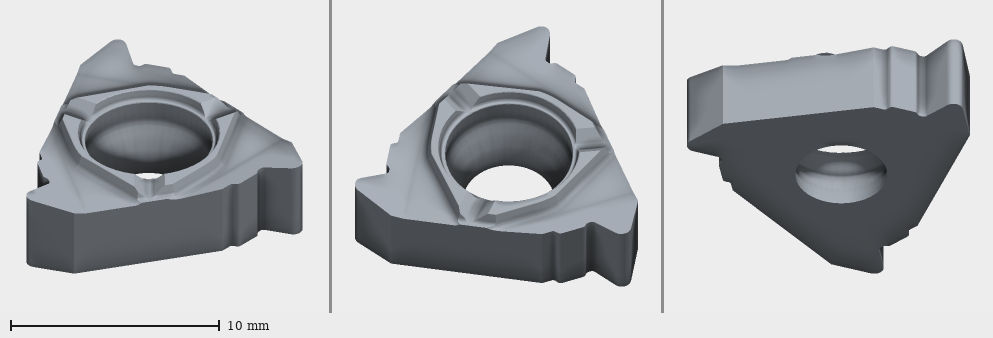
import math

import cadquery as cq

TIPS = 3
TIP_PITCH = 360 / TIPS
REACH = 10.0
CUT_CLEARANCE = 1.0

TOP_Z = 4.1
FLOOR_Z = 3.495
LAND_Z = 3.61

INSCRIBED_RADIUS = 9.525 / 2
TIP_CENTER = (-3.354, 6.45)
TIP_RADIUS = 0.455
FLANK_ANGLE = 30.0
SHOULDER_Y = 5.33
CREST_Y = 5.66
ROOT_Y = 5.46
CREST_RIGHT_X = -0.49
CREST_LEFT_X = -1.75
ROOT_ROUNDING = 0.2

RAKE_ANGLE = 10.6
CREASE_Y = 4.31
CREASE_RADIUS = 0.4

WALL_DRAFT = 25.0
WALL_FILLET = 0.35
STRAIGHT_WALL_OFFSET = 3.732
STRAIGHT_WALL_ANGLE = 90.0
ARC_WALL_SWEEP = 25.0
SLANTED_WALL_OFFSET = 3.6
SLANTED_WALL_ANGLE = 121.5
CORNER_WALL_OFFSET = 4.268
CORNER_WALL_ANGLE = 180.0
CORNER_FILLET = 0.2
TOP_EDGE_ROUNDING = 0.05

GROOVE_ANGLE = 166.0
GROOVE_HALF_WIDTH = 0.74
GROOVE_FLOOR_HALF_WIDTH = 0.13
GROOVE_ROUNDING = 0.25
GROOVE_START = 2.5

HOLE_RADIUS = 2.2
RIM_TAPER = 16.0
LIP_RADIUS = 3.1
LIP_FILLET = 0.2
LIP_ROUNDING = 0.05
BORE_BOTTOM_Z = 2.66
SEAT_FILLET = 0.6
SEAT_TILT = 37.0


def polar(radius, angle):
    """Vector of the given length at an angle in degrees."""
    return radius * math.cos(math.radians(angle)), radius * math.sin(math.radians(angle))


def offset(point, vector):
    """Point moved by a vector."""
    return point[0] + vector[0], point[1] + vector[1]


def around_axis(shape, angle):
    """Shape turned about the hole axis."""
    return shape.rotate((0, 0, 0), (0, 0, 1), angle)


def at_each_tip(shape):
    """Copies of the shape for all the tips."""
    return [around_axis(shape, index * TIP_PITCH) for index in range(TIPS)]


def flank_line(normal_angle):
    """Unit normal of a tip flank and its distance from the hole axis."""
    nx, ny = polar(1, normal_angle)
    return nx, ny, TIP_CENTER[0] * nx + TIP_CENTER[1] * ny + TIP_RADIUS


def tip_sector():
    """Prism holding one tip and the third of the body behind it."""
    left_angle = 180 - FLANK_ANGLE
    left_nx, left_ny, left_distance = flank_line(left_angle)
    right_nx, right_ny, right_distance = flank_line(FLANK_ANGLE)
    side_end = (-INSCRIBED_RADIUS, (left_distance + INSCRIBED_RADIUS * left_nx) / left_ny)
    root = ((right_distance - ROOT_Y * right_ny) / right_nx, ROOT_Y)
    root_end = (CREST_LEFT_X - (CREST_Y - ROOT_Y), ROOT_Y)
    crest_left = (CREST_LEFT_X, CREST_Y)
    crest_right = (CREST_RIGHT_X, CREST_Y)
    riser_run = (CREST_Y - SHOULDER_Y) * math.tan(math.radians(FLANK_ANGLE))
    shoulder_start = (CREST_RIGHT_X + riser_run, SHOULDER_Y)
    next_side_angle = CORNER_WALL_ANGLE - TIP_PITCH
    nx, ny = polar(1, next_side_angle)
    shoulder_end = ((INSCRIBED_RADIUS - SHOULDER_Y * ny) / nx, SHOULDER_Y)
    prism = (
        cq.Workplane("XY")
        .polyline([(0, 0), polar(INSCRIBED_RADIUS, CORNER_WALL_ANGLE), side_end])
        .lineTo(*offset(TIP_CENTER, polar(TIP_RADIUS, left_angle)))
        .threePointArc(
            offset(TIP_CENTER, polar(TIP_RADIUS, 90)),
            offset(TIP_CENTER, polar(TIP_RADIUS, FLANK_ANGLE)),
        )
        .lineTo(*root)
        .lineTo(*root_end)
        .lineTo(*crest_left)
        .lineTo(*crest_right)
        .lineTo(*shoulder_start)
        .lineTo(*shoulder_end)
        .lineTo(*polar(INSCRIBED_RADIUS, next_side_angle))
        .close()
        .extrude(TOP_Z)
    )
    for corner in (root, root_end, crest_left, crest_right, shoulder_start):
        prism = prism.edges(cq.NearestToPointSelector((*corner, TOP_Z / 2))).fillet(ROOT_ROUNDING)
    return prism


def footprint():
    """Full-height prism of the whole insert outline."""
    prism, *others = at_each_tip(tip_sector())
    for other in others:
        prism = prism.union(other)
    return prism.clean()


def rake_wedge():
    """Rising rake face of the +Y tip, rounded where it leaves the floor."""
    tangent = CREASE_RADIUS * math.tan(math.radians(RAKE_ANGLE / 2))
    center = (CREASE_Y - tangent, FLOOR_Z + CREASE_RADIUS)
    rise = REACH * math.tan(math.radians(RAKE_ANGLE))
    return (
        cq.Workplane("YZ")
        .moveTo(CREASE_Y - tangent, FLOOR_Z)
        .threePointArc(
            offset(center, polar(CREASE_RADIUS, RAKE_ANGLE / 2 - 90)),
            offset(center, polar(CREASE_RADIUS, RAKE_ANGLE - 90)),
        )
        .lineTo(CREASE_Y + REACH, FLOOR_Z + rise)
        .lineTo(CREASE_Y + REACH, 0)
        .lineTo(CREASE_Y - tangent, 0)
        .close()
        .extrude(REACH, both=True)
    )


def wall_profile(top_offset, foot_z, fillet):
    """Space outside a drafted wall that blends into a level foot, in the XZ plane."""
    slope = math.tan(math.radians(WALL_DRAFT))
    foot_offset = top_offset + (TOP_Z - foot_z) * slope
    tangent = fillet * math.tan(math.radians(45 - WALL_DRAFT / 2))
    center = (foot_offset + tangent, foot_z + fillet)
    return (
        cq.Workplane("XZ")
        .moveTo(top_offset - CUT_CLEARANCE * slope, TOP_Z + CUT_CLEARANCE)
        .lineTo(*offset(center, polar(fillet, 180 + WALL_DRAFT)))
        .threePointArc(
            offset(center, polar(fillet, 225 + WALL_DRAFT / 2)),
            offset(center, polar(fillet, 270)),
        )
        .lineTo(top_offset + REACH, foot_z)
        .lineTo(top_offset + REACH, TOP_Z + CUT_CLEARANCE)
        .close()
    )


def straight_wall(angle, top_offset, foot_z=FLOOR_Z, fillet=WALL_FILLET):
    """Cutter for a flat drafted wall facing the given angle."""
    cutter = wall_profile(top_offset, foot_z, fillet).extrude(REACH, both=True)
    return around_axis(cutter, angle)


def arc_wall():
    """Cutter for the conical wall continuing the straight wall around the hole."""
    profile = wall_profile(STRAIGHT_WALL_OFFSET, FLOOR_Z, WALL_FILLET)
    cutter = profile.revolve(ARC_WALL_SWEEP, (0, 0, 0), (0, 1, 0))
    return around_axis(cutter, STRAIGHT_WALL_ANGLE)


def groove():
    """Cutter for a radial V groove with a narrow rounded floor."""
    slope = (TOP_Z - LAND_Z) / (GROOVE_HALF_WIDTH - GROOVE_FLOOR_HALF_WIDTH)
    open_half_width = GROOVE_HALF_WIDTH + CUT_CLEARANCE / slope
    cutter = (
        cq.Workplane("YZ", origin=(GROOVE_START, 0, 0))
        .polyline([
            (-GROOVE_FLOOR_HALF_WIDTH, LAND_Z),
            (GROOVE_FLOOR_HALF_WIDTH, LAND_Z),
            (open_half_width, TOP_Z + CUT_CLEARANCE),
            (-open_half_width, TOP_Z + CUT_CLEARANCE),
        ])
        .close()
        .extrude(REACH)
        .edges("|X and <Z")
        .fillet(GROOVE_ROUNDING)
    )
    return around_axis(cutter, GROOVE_ANGLE)


def chip_breaker():
    """Drafted triangular plateau, notched at its three corners."""
    plateau = cq.Workplane("XY").circle(REACH).extrude(TOP_Z)
    cutters = [
        straight_wall(STRAIGHT_WALL_ANGLE, STRAIGHT_WALL_OFFSET),
        arc_wall(),
        straight_wall(SLANTED_WALL_ANGLE, SLANTED_WALL_OFFSET),
        straight_wall(CORNER_WALL_ANGLE, CORNER_WALL_OFFSET, LAND_Z, CORNER_FILLET),
        groove(),
    ]
    for cutter in cutters:
        for placed in at_each_tip(cutter):
            plateau = plateau.cut(placed)
    return plateau.faces(">Z").edges().fillet(TOP_EDGE_ROUNDING)


def screw_hole():
    """Cutter for the stepped bore whose curved screw seat runs tangent into the through hole."""
    lip_center = (LIP_RADIUS, LAND_Z + LIP_FILLET)
    lip_fillet_top = offset(lip_center, polar(LIP_FILLET, -RIM_TAPER))
    rim_taper = math.tan(math.radians(RIM_TAPER))
    rim_radius = lip_fillet_top[0] + (TOP_Z - lip_fillet_top[1]) * rim_taper
    rim_tangent = TOP_EDGE_ROUNDING * math.tan(math.radians(45 - RIM_TAPER / 2))
    rim_center = (rim_radius + rim_tangent, TOP_Z - TOP_EDGE_ROUNDING)
    lip_rounding_center = (LIP_RADIUS, LAND_Z - LIP_ROUNDING)
    bore_radius = LIP_RADIUS - LIP_ROUNDING
    seat_fillet_center = (bore_radius - SEAT_FILLET, BORE_BOTTOM_Z)
    seat_top = offset(seat_fillet_center, polar(SEAT_FILLET, -SEAT_TILT))
    seat_radius = (seat_top[0] - HOLE_RADIUS) / (1 - math.cos(math.radians(SEAT_TILT)))
    seat_center = offset(seat_top, polar(seat_radius, -SEAT_TILT))
    return (
        cq.Workplane("XZ")
        .lineTo(HOLE_RADIUS, 0)
        .lineTo(HOLE_RADIUS, seat_center[1])
        .threePointArc(offset(seat_center, polar(seat_radius, 180 - SEAT_TILT / 2)), seat_top)
        .threePointArc(
            offset(seat_fillet_center, polar(SEAT_FILLET, -SEAT_TILT / 2)),
            (bore_radius, BORE_BOTTOM_Z),
        )
        .lineTo(bore_radius, lip_rounding_center[1])
        .threePointArc(
            offset(lip_rounding_center, polar(LIP_ROUNDING, 135)),
            (LIP_RADIUS, LAND_Z),
        )
        .threePointArc(
            offset(lip_center, polar(LIP_FILLET, -45 - RIM_TAPER / 2)),
            lip_fillet_top,
        )
        .lineTo(*offset(rim_center, polar(TOP_EDGE_ROUNDING, 180 - RIM_TAPER)))
        .threePointArc(
            offset(rim_center, polar(TOP_EDGE_ROUNDING, 135 - RIM_TAPER / 2)),
            offset(rim_center, polar(TOP_EDGE_ROUNDING, 90)),
        )
        .lineTo(0, TOP_Z)
        .close()
        .revolve()
    )


def insert():
    """The complete insert."""
    body = chip_breaker()
    for wedge in at_each_tip(rake_wedge()):
        body = body.union(wedge)
    return footprint().intersect(body).cut(screw_hole()).clean()


result = insert()